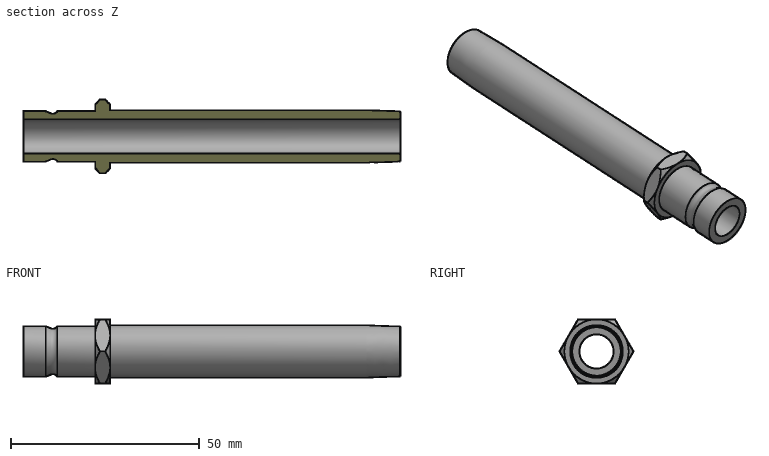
import cadquery as cq
import math

total_length = 100.0
groove_start = 5.9
groove_cone_end = 7.3
groove_end = 9.0
hex_start = 19.0
hex_width = 4.0
hex_bevel_length = 1.3
taper_start = 91.0
end_chamfer = 0.3

nipple_diameter = 13.5
groove_cone_depth = 0.6
barrel_diameter = 14.0
tip_diameter = 13.4
bore_diameter = 9.0
hex_across_flats = 17.0

nipple_radius = nipple_diameter / 2
groove_cone_radius = nipple_radius - groove_cone_depth
barrel_radius = barrel_diameter / 2
tip_radius = tip_diameter / 2
hex_end = hex_start + hex_width
hex_face_radius = hex_across_flats / 2
hex_corner_diameter = hex_across_flats / math.cos(math.radians(30))
hex_corner_radius = hex_corner_diameter / 2


def revolve_about_x(profile):
    return profile.revolve(360, (0, 0, 0), (1, 0, 0))


def make_tube_body():
    """Grooved nipple, straight barrel and tapered tip with a chamfered end."""
    profile = (
        cq.Workplane("XY")
        .lineTo(0, nipple_radius)
        .lineTo(groove_start, nipple_radius)
        .lineTo(groove_cone_end, groove_cone_radius)
        .tangentArcPoint((groove_end, nipple_radius), relative=False)
        .lineTo(hex_start, nipple_radius)
        .lineTo(hex_start, barrel_radius)
        .lineTo(taper_start, barrel_radius)
        .lineTo(total_length - end_chamfer, tip_radius)
        .lineTo(total_length, tip_radius - end_chamfer)
        .lineTo(total_length, 0)
        .close()
    )
    return revolve_about_x(profile)


def make_hex_collar():
    """Hexagon with flats facing +Z and -Z, its corners bevelled on both sides."""
    hexagon = (
        cq.Workplane("YZ", origin=(hex_start, 0, 0))
        .polygon(6, hex_corner_diameter)
        .extrude(hex_width)
    )
    bevel_profile = (
        cq.Workplane("XY")
        .moveTo(hex_start, 0)
        .lineTo(hex_start, hex_face_radius)
        .lineTo(hex_start + hex_bevel_length, hex_corner_radius)
        .lineTo(hex_end - hex_bevel_length, hex_corner_radius)
        .lineTo(hex_end, hex_face_radius)
        .lineTo(hex_end, 0)
        .close()
    )
    return hexagon.intersect(revolve_about_x(bevel_profile))


def make_bore():
    """Straight through bore along X."""
    return cq.Workplane("YZ").circle(bore_diameter / 2).extrude(total_length)


result = make_tube_body().union(make_hex_collar()).cut(make_bore())